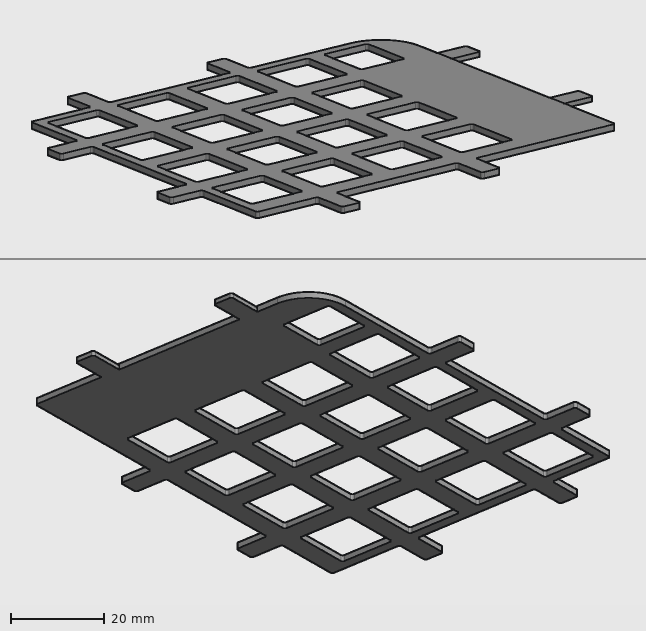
import cadquery as cq

plate_width = 78.6
plate_height = 97.8
plate_thickness = 1.5
large_corner_radius = 10.3
small_radius = 0.6

overall_width = 95.7
overall_height = 114.8
upper_tab_thickness = 1.1
upper_tab_shift = 0.5
tab_ribs = (0, 2)

columns = 4
rows = 4
pitch = 19.0
rib = 5.0
window = pitch - rib
thin_border = 2.5

upper_window_width = 13.1
upper_window_height = 11.9
upper_window_bottom = 29.0

left = -plate_width / 2
right = plate_width / 2
bottom = -plate_height / 2
top = plate_height / 2
grid_left = left + thin_border
grid_bottom = bottom + thin_border


def block(x_min, x_max, y_min, y_max, thickness=plate_thickness):
    """Flat block standing on Z = 0 between the given X and Y limits."""
    size = (x_max - x_min, y_max - y_min, thickness)
    return cq.Workplane("XY").box(*size, centered=False).translate((x_min, y_min, 0))


def rib_right_of(column):
    """X limits of the rib to the right of a column; the last one is the right border."""
    end = right - (columns - 1 - column) * pitch
    return end - rib, end


def rib_above(row):
    """Y limits of the rib above a row."""
    start = grid_bottom + row * pitch + window
    return start, start + rib


def make_body():
    """Plate with the side and lower tabs, which continue the ribs, and rounded corners."""
    body = block(left, right, bottom, top)
    for row in tab_ribs:
        low, high = rib_above(row)
        body = body.union(block(-overall_width / 2, overall_width / 2, low, high))
    for column in tab_ribs:
        start, end = rib_right_of(column)
        body = body.union(block(start, end, -overall_height / 2, grid_bottom))

    upright_edges = cq.selectors.StringSyntaxSelector("|Z")
    large_corner = cq.selectors.NearestToPointSelector((left, top, plate_thickness / 2))
    body = body.edges(upright_edges - large_corner).fillet(small_radius)
    return body.edges(large_corner).fillet(large_corner_radius)


def make_upper_tab(column, shift):
    """Thinner tab on the upper side, rooted a little way inside the plate."""
    start, end = rib_right_of(column)
    tab = block(start + shift, end + shift, top - rib, overall_height / 2, upper_tab_thickness)
    return tab.edges("|Z and >Y").fillet(small_radius)


def make_window(x_min, x_max, y_min, y_max):
    """Cutter for one through window with rounded corners."""
    return block(x_min, x_max, y_min, y_max).edges("|Z").fillet(small_radius)


result = make_body()

for tab_column, tab_direction in zip(tab_ribs, (-1, 1)):
    result = result.union(make_upper_tab(tab_column, tab_direction * upper_tab_shift))

for grid_column in range(columns):
    window_right = rib_right_of(grid_column)[0]
    window_left = max(window_right - window, grid_left)
    for grid_row in range(rows):
        window_top = rib_above(grid_row)[0]
        result = result.cut(make_window(window_left, window_right, window_top - window, window_top))

result = result.cut(
    make_window(
        grid_left,
        grid_left + upper_window_width,
        upper_window_bottom,
        upper_window_bottom + upper_window_height,
    )
)